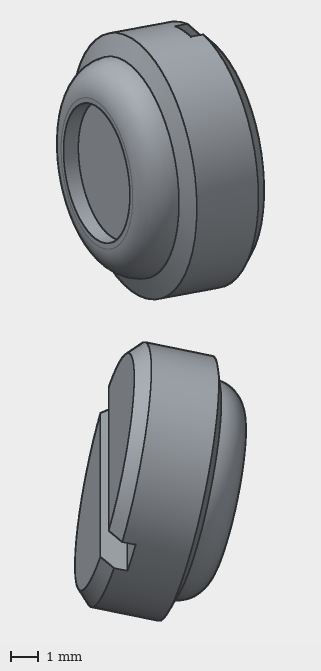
import cadquery as cq

outer_radius = 4.85
total_depth = 4.5
back_chamfer = 0.5
front_bevel_depth = 0.3

nose_radius = 4.045
nose_height = 1.2
rim_radius = 2.75

recess_radius = 2.55
recess_depth = 0.6

slot_width = 1.2
slot_depth = 1.0

front_y = -total_depth / 2
back_y = total_depth / 2
nose_base_y = front_y + nose_height
bevel_end_y = nose_base_y + front_bevel_depth


def turned_body():
    """Revolve the half section; local x is the radius, local y is the axis."""
    nose_width = nose_radius - rim_radius
    arc_radius = (nose_width**2 + nose_height**2) / (2 * nose_height)
    return (
        cq.Workplane("XY")
        .moveTo(0, front_y)
        .lineTo(rim_radius, front_y)
        .radiusArc((nose_radius, nose_base_y), -arc_radius)
        .lineTo(outer_radius, bevel_end_y)
        .lineTo(outer_radius, back_y - back_chamfer)
        .lineTo(outer_radius - back_chamfer, back_y)
        .lineTo(0, back_y)
        .close()
        .revolve(360, (0, 0, 0), (0, 1, 0))
    )


def front_recess():
    return (
        cq.Workplane("XZ", origin=(0, front_y, 0))
        .circle(recess_radius)
        .extrude(-recess_depth)
    )


def driver_slot():
    return cq.Workplane("XY").box(slot_width, slot_depth, 2 * outer_radius).translate(
        (0, back_y - slot_depth / 2, 0)
    )


result = turned_body().cut(front_recess()).cut(driver_slot())